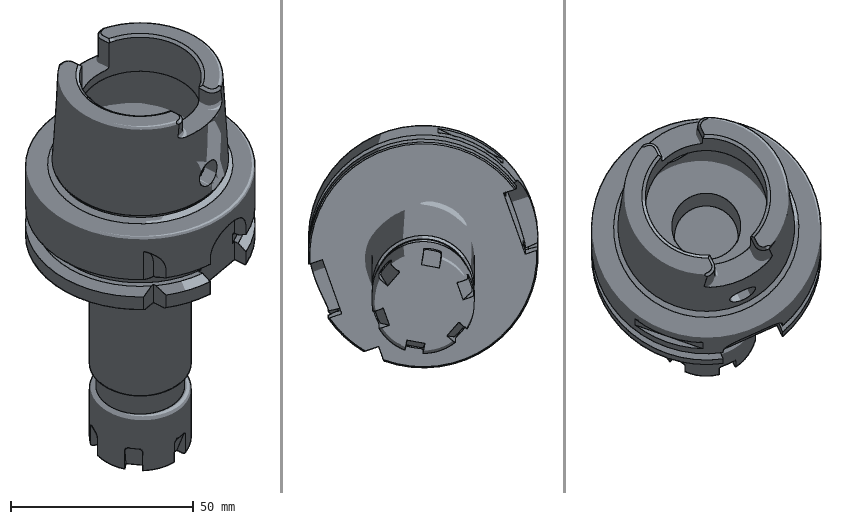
import cadquery as cq
import math


TAPER_TOP = 32.0
TAPER_RATIO = 1 / 9.98
GAUGE_RADIUS = 24.005
GAUGE_HEIGHT = 6.3
TAPER_FOOT = 1.9
TAPER_TOP_ROUND = 0.9
RELIEF_RADIUS = 23.6
RELIEF_TOP = 1.4
RELIEF_BOTTOM = 0.8
FLARE_KNEE_RADIUS = 24.7
FLARE_KNEE_HEIGHT = 0.25
FLARE_RADIUS = 25.4

FLANGE_RADIUS = 31.5
FLANGE_BOTTOM = -26.0
FLANGE_TOP_ROUND = 0.8
FLANGE_BOTTOM_CHAMFER = 0.4
GROOVE_CENTER = -18.0
GROOVE_MOUTH_HALF = 3.1
GROOVE_FLOOR_HALF = 1.5
GROOVE_BEVEL_RADIUS = 28.9
GROOVE_RADIUS = 27.4

SHANK_RADIUS = 14.0
SHANK_FILLET = 2.8
SHANK_BOTTOM = -72.2
SHANK_CHAMFER = 0.8
NECK_RADIUS = 12.2
NECK_CHAMFER = 0.8
NUT_TOP = -79.5
NUT_BOTTOM = -99.0
NUT_ROUND = 1.2

BORE_RADIUS = 16.7
BORE_CHAMFER_WIDTH = 0.95
BORE_CHAMFER_HEIGHT = 0.6
UNDERCUT_TOP = 19.2
UNDERCUT_RADIUS = 20.0
UNDERCUT_FILLET = 4.4
BORE_FLOOR = 2.0
RECESS_TOP_RADIUS = 9.45
RECESS_FLOOR_RADIUS = 8.7
RECESS_DEPTH = 10.0
CROSS_HOLE_RADIUS = 3.9
CROSS_HOLE_HEIGHT = 9.0

DRIVE_SLOT_HALF_WIDTH = 6.15
DRIVE_SLOT_STRAIGHT = 18.1
DRIVE_SLOT_CORNER = 2.6
DRIVE_SLOT_FILLET = 1.2
DRIVE_SLOT_CHAMFER = 0.8
DRIVE_SLOT_FLOORS = {-1: 22.0, 1: 26.0}

KEYWAY_FLOOR = 26.5
KEYWAY_TOP = -4.85
KEYWAY_WIDTHS = {-1: 18.0, 1: 16.0}
NOTCH_OFFSET = 20.0
NOTCH_CUTTER_RADIUS = 8.0
NOTCH_ARC_CENTER = -12.0
FLAT_DISTANCE = 29.9
FLAT_TOP = -4.0
FLAT_HEIGHT = 5.9
FLAT_ANGLE = 135.0

WRENCH_SLOT_COUNT = 6
WRENCH_SLOT_WIDTH = 5.0
WRENCH_SLOT_TOP = -90.5
WRENCH_SLOT_CORNER = 1.4
WRENCH_SLOT_TOP_DISTANCE = 13.6
WRENCH_SLOT_BOTTOM_DISTANCE = 10.7

CLEARANCE = 10.0
COS_45 = math.cos(math.radians(45))


def taper_radius(height):
    """Outer radius of the taper at a height above the flange face."""
    return GAUGE_RADIUS - (height - GAUGE_HEIGHT) * TAPER_RATIO / 2


def make_body():
    """Revolved outer shape, from the nut up to the taper end."""
    nut_arc = NUT_ROUND * (1 - COS_45)
    flange_arc = FLANGE_TOP_ROUND * (1 - COS_45)
    top_arc = TAPER_TOP_ROUND * (1 - COS_45)
    shank_arc = SHANK_FILLET * (1 - COS_45)
    groove_top = GROOVE_CENTER + GROOVE_FLOOR_HALF
    groove_bottom = GROOVE_CENTER - GROOVE_FLOOR_HALF
    mouth_top = GROOVE_CENTER + GROOVE_MOUTH_HALF
    mouth_bottom = GROOVE_CENTER - GROOVE_MOUTH_HALF
    profile = (
        cq.Workplane("XZ")
        .moveTo(0, NUT_BOTTOM)
        .lineTo(SHANK_RADIUS - NUT_ROUND, NUT_BOTTOM)
        .threePointArc(
            (SHANK_RADIUS - nut_arc, NUT_BOTTOM + nut_arc),
            (SHANK_RADIUS, NUT_BOTTOM + NUT_ROUND),
        )
        .lineTo(SHANK_RADIUS, NUT_TOP - NUT_ROUND)
        .threePointArc(
            (SHANK_RADIUS - nut_arc, NUT_TOP - nut_arc),
            (SHANK_RADIUS - NUT_ROUND, NUT_TOP),
        )
        .lineTo(NECK_RADIUS, NUT_TOP)
        .lineTo(NECK_RADIUS, SHANK_BOTTOM - NECK_CHAMFER)
        .lineTo(NECK_RADIUS + NECK_CHAMFER, SHANK_BOTTOM)
        .lineTo(SHANK_RADIUS - SHANK_CHAMFER, SHANK_BOTTOM)
        .lineTo(SHANK_RADIUS, SHANK_BOTTOM + SHANK_CHAMFER)
        .lineTo(SHANK_RADIUS, FLANGE_BOTTOM - SHANK_FILLET)
        .threePointArc(
            (SHANK_RADIUS + shank_arc, FLANGE_BOTTOM - shank_arc),
            (SHANK_RADIUS + SHANK_FILLET, FLANGE_BOTTOM),
        )
        .lineTo(FLANGE_RADIUS - FLANGE_BOTTOM_CHAMFER, FLANGE_BOTTOM)
        .lineTo(FLANGE_RADIUS, FLANGE_BOTTOM + FLANGE_BOTTOM_CHAMFER)
        .lineTo(FLANGE_RADIUS, mouth_bottom)
        .lineTo(GROOVE_BEVEL_RADIUS, groove_bottom)
        .lineTo(GROOVE_RADIUS, groove_bottom)
        .lineTo(GROOVE_RADIUS, groove_top)
        .lineTo(GROOVE_BEVEL_RADIUS, groove_top)
        .lineTo(FLANGE_RADIUS, mouth_top)
        .lineTo(FLANGE_RADIUS, -FLANGE_TOP_ROUND)
        .threePointArc(
            (FLANGE_RADIUS - flange_arc, -flange_arc),
            (FLANGE_RADIUS - FLANGE_TOP_ROUND, 0),
        )
        .lineTo(FLARE_RADIUS, 0)
        .lineTo(FLARE_KNEE_RADIUS, FLARE_KNEE_HEIGHT)
        .lineTo(RELIEF_RADIUS, RELIEF_BOTTOM)
        .lineTo(RELIEF_RADIUS, RELIEF_TOP)
        .lineTo(taper_radius(TAPER_FOOT), TAPER_FOOT)
        .lineTo(taper_radius(TAPER_TOP), TAPER_TOP - TAPER_TOP_ROUND)
        .threePointArc(
            (taper_radius(TAPER_TOP) - top_arc, TAPER_TOP - top_arc),
            (taper_radius(TAPER_TOP) - TAPER_TOP_ROUND, TAPER_TOP),
        )
        .lineTo(0, TAPER_TOP)
        .close()
    )
    return profile.revolve(360, (0, 0, 0), (0, 1, 0))


def make_bore():
    """Revolved cavity: bore, clamping undercut and blind conical recess in its floor."""
    fillet_arc = UNDERCUT_FILLET * (1 - COS_45)
    recess_floor = BORE_FLOOR - RECESS_DEPTH
    profile = (
        cq.Workplane("XZ")
        .moveTo(0, recess_floor)
        .lineTo(RECESS_FLOOR_RADIUS, recess_floor)
        .lineTo(RECESS_TOP_RADIUS, BORE_FLOOR)
        .lineTo(UNDERCUT_RADIUS - UNDERCUT_FILLET, BORE_FLOOR)
        .threePointArc(
            (UNDERCUT_RADIUS - fillet_arc, BORE_FLOOR + fillet_arc),
            (UNDERCUT_RADIUS, BORE_FLOOR + UNDERCUT_FILLET),
        )
        .lineTo(UNDERCUT_RADIUS, UNDERCUT_TOP)
        .lineTo(BORE_RADIUS, UNDERCUT_TOP)
        .lineTo(BORE_RADIUS, TAPER_TOP - BORE_CHAMFER_HEIGHT)
        .lineTo(BORE_RADIUS + BORE_CHAMFER_WIDTH, TAPER_TOP)
        .lineTo(0, TAPER_TOP)
        .close()
    )
    return profile.revolve(360, (0, 0, 0), (0, 1, 0))


def drive_slot_outline(height):
    """Plan of a drive slot, its mouth flaring out round both outer corners."""
    corner_arc = DRIVE_SLOT_CORNER * COS_45
    corner_y = DRIVE_SLOT_HALF_WIDTH + DRIVE_SLOT_CORNER
    shoulder_x = DRIVE_SLOT_STRAIGHT + DRIVE_SLOT_CORNER
    inner_x = BORE_RADIUS - CLEARANCE
    outer_x = FLANGE_RADIUS
    outer_y = corner_y + CLEARANCE
    return (
        cq.Workplane("XY", origin=(0, 0, height))
        .moveTo(inner_x, -DRIVE_SLOT_HALF_WIDTH)
        .lineTo(DRIVE_SLOT_STRAIGHT, -DRIVE_SLOT_HALF_WIDTH)
        .threePointArc(
            (DRIVE_SLOT_STRAIGHT + corner_arc, corner_arc - corner_y),
            (shoulder_x, -corner_y),
        )
        .lineTo(shoulder_x, -outer_y)
        .lineTo(outer_x, -outer_y)
        .lineTo(outer_x, outer_y)
        .lineTo(shoulder_x, outer_y)
        .lineTo(shoulder_x, corner_y)
        .threePointArc(
            (DRIVE_SLOT_STRAIGHT + corner_arc, corner_y - corner_arc),
            (DRIVE_SLOT_STRAIGHT, DRIVE_SLOT_HALF_WIDTH),
        )
        .lineTo(inner_x, DRIVE_SLOT_HALF_WIDTH)
        .close()
    )


def make_drive_slot(side):
    """Slot across the taper wall, with a rounded floor edge and a chamfered rim."""
    floor = DRIVE_SLOT_FLOORS[side]
    channel = (
        drive_slot_outline(floor)
        .extrude(TAPER_TOP - floor)
        .faces("<Z")
        .edges()
        .fillet(DRIVE_SLOT_FILLET)
    )
    rim = drive_slot_outline(TAPER_TOP - DRIVE_SLOT_CHAMFER).extrude(DRIVE_SLOT_CHAMFER, taper=-45)
    slot = channel.union(rim)
    return slot if side > 0 else slot.mirror("YZ")


def make_cross_hole():
    """Hole along X through both sides of the taper wall."""
    return (
        cq.Workplane("YZ", origin=(-FLANGE_RADIUS, 0, CROSS_HOLE_HEIGHT))
        .circle(CROSS_HOLE_RADIUS)
        .extrude(2 * FLANGE_RADIUS)
    )


def make_round_slot(start_x, center_y, arc_center_z, radius):
    """Slot milled along X from start_x outwards: round at the top, open at the flange bottom."""
    return (
        cq.Workplane("YZ", origin=(start_x, 0, 0))
        .moveTo(center_y - radius, FLANGE_BOTTOM)
        .lineTo(center_y + radius, FLANGE_BOTTOM)
        .lineTo(center_y + radius, arc_center_z)
        .threePointArc((center_y, arc_center_z + radius), (center_y - radius, arc_center_z))
        .close()
        .extrude(FLANGE_RADIUS)
    )


def make_keyway(side):
    radius = KEYWAY_WIDTHS[side] / 2
    keyway = make_round_slot(KEYWAY_FLOOR, 0, KEYWAY_TOP - radius, radius)
    return keyway if side > 0 else keyway.mirror("YZ")


def make_notch():
    """Square index notch between the +X and -Y sides of the flange."""
    center_y = -NOTCH_OFFSET - NOTCH_CUTTER_RADIUS
    return make_round_slot(NOTCH_OFFSET, center_y, NOTCH_ARC_CENTER, NOTCH_CUTTER_RADIUS)


def make_flat():
    """Short flat milled into the flange rim between the -X and +Y sides."""
    return (
        cq.Workplane("XY", origin=(0, 0, FLAT_TOP - FLAT_HEIGHT))
        .center(FLAT_DISTANCE + CLEARANCE / 2, 0)
        .rect(CLEARANCE, FLANGE_RADIUS)
        .extrude(FLAT_HEIGHT)
        .rotate((0, 0, 0), (0, 0, 1), FLAT_ANGLE)
    )


def make_wrench_slot():
    """Slot in the nut rim, its floor sloping inwards towards the nut face."""
    blank = (
        cq.Workplane("YZ")
        .rect(WRENCH_SLOT_WIDTH, 2 * (WRENCH_SLOT_TOP - NUT_BOTTOM))
        .extrude(SHANK_RADIUS + CLEARANCE)
        .edges("|X and >Z")
        .fillet(WRENCH_SLOT_CORNER)
        .translate((0, 0, NUT_BOTTOM))
    )
    wedge = (
        cq.Workplane("XZ")
        .moveTo(WRENCH_SLOT_TOP_DISTANCE, WRENCH_SLOT_TOP)
        .lineTo(SHANK_RADIUS + CLEARANCE, WRENCH_SLOT_TOP)
        .lineTo(SHANK_RADIUS + CLEARANCE, NUT_BOTTOM)
        .lineTo(WRENCH_SLOT_BOTTOM_DISTANCE, NUT_BOTTOM)
        .close()
        .extrude(WRENCH_SLOT_WIDTH, both=True)
    )
    return blank.intersect(wedge)


body = make_body().cut(make_bore())
for side in (-1, 1):
    body = body.cut(make_drive_slot(side)).cut(make_keyway(side))
body = body.cut(make_cross_hole()).cut(make_notch()).cut(make_flat())

wrench_slot = make_wrench_slot()
for index in range(WRENCH_SLOT_COUNT):
    body = body.cut(wrench_slot.rotate((0, 0, 0), (0, 0, 1), index * 360 / WRENCH_SLOT_COUNT))

result = body